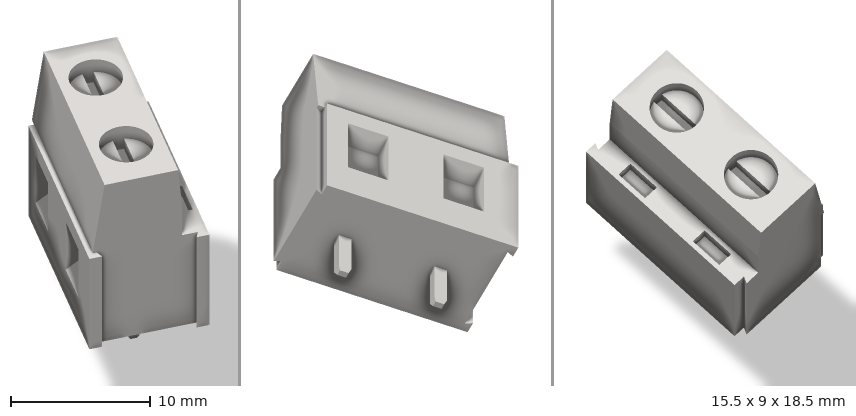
import cadquery as cq


pitch = 7.5
terminal_count = 2
housing_width = pitch * terminal_count
housing_depth = 9.0
base_height = 8.68
tower_height = 6.33
tower_top = base_height + tower_height
terminal_positions = [pitch * (index + 0.5) for index in range(terminal_count)]

dovetail_reach = 0.52
dovetail_inset = 0.7
dovetail_slope = 0.25
dovetail_tip = dovetail_inset + dovetail_slope

tower_front_bottom = 0.4
tower_front_top = 1.3
tower_rear_bottom = 7.1
tower_rear_top = 6.8
rear_taper_height = 3.59

screw_y = 4.05
screw_diameter = 3.9
screw_recess_depth = 1.2
screw_slot_width = 0.83
screw_slot_depth = 1.0

wire_mouth_width = 3.16
wire_mouth_bottom = 2.65
wire_mouth_top = 7.29
wire_floor_width = 2.78
wire_floor_bottom = 3.83
wire_floor_top = 6.55
wire_depth = 1.45

rear_pocket_width = 2.66
rear_pocket_length = 1.2
rear_pocket_y = 8.03
rear_pocket_depth = 1.0

pin_y = 4.5
pin_width = 1.0
pin_thickness = 0.81
pin_length = 3.5
pin_tip_height = 0.33
pin_tip_inset = 0.17


def make_base():
    """Extrude the plan outline with its dovetail grooves and tongues."""
    outer_x = housing_width + dovetail_reach
    rear_inset_y = housing_depth - dovetail_inset
    rear_tip_y = housing_depth - dovetail_tip
    outline = [
        (dovetail_reach, 0),
        (outer_x, 0),
        (outer_x, dovetail_tip),
        (housing_width, dovetail_inset),
        (housing_width, rear_inset_y),
        (outer_x, rear_tip_y),
        (outer_x, housing_depth),
        (dovetail_reach, housing_depth),
        (dovetail_reach, rear_tip_y),
        (0, rear_inset_y),
        (0, dovetail_inset),
        (dovetail_reach, dovetail_tip),
    ]
    return cq.Workplane("XY").polyline(outline).close().extrude(base_height)


def make_tower():
    """Extrude the tapered side profile along the row of terminals."""
    profile = [
        (tower_front_bottom, base_height),
        (tower_rear_bottom, base_height),
        (tower_rear_bottom, tower_top - rear_taper_height),
        (tower_rear_top, tower_top),
        (tower_front_top, tower_top),
    ]
    return cq.Workplane("YZ").polyline(profile).close().extrude(housing_width)


def make_screw_recess(x):
    """Round recess above a screw head, with the driver slot in its floor."""
    floor_z = tower_top - screw_recess_depth
    recess = (
        cq.Workplane("XY", origin=(x, screw_y, floor_z))
        .circle(screw_diameter / 2)
        .extrude(screw_recess_depth)
    )
    slot_plane = cq.Workplane("XY", origin=(x, screw_y, floor_z - screw_slot_depth))
    slot_bar = slot_plane.rect(screw_diameter, screw_slot_width).extrude(screw_slot_depth)
    head = slot_plane.circle(screw_diameter / 2).extrude(screw_slot_depth)
    return recess.union(slot_bar.intersect(head))


def make_wire_opening(x):
    """Funnel that narrows from the front face to its floor."""
    mouth_z = (wire_mouth_bottom + wire_mouth_top) / 2
    floor_z = (wire_floor_bottom + wire_floor_top) / 2
    return (
        cq.Workplane("XZ", origin=(x, 0, 0))
        .center(0, mouth_z)
        .rect(wire_mouth_width, wire_mouth_top - wire_mouth_bottom)
        .workplane(offset=-wire_depth)
        .center(0, floor_z - mouth_z)
        .rect(wire_floor_width, wire_floor_top - wire_floor_bottom)
        .loft(ruled=True)
    )


def make_rear_pocket(x):
    """Rectangular pocket cut down from the rear ledge."""
    return (
        cq.Workplane("XY", origin=(x, rear_pocket_y, base_height))
        .rect(rear_pocket_width, rear_pocket_length)
        .extrude(-rear_pocket_depth)
    )


def make_pin(x):
    """Rectangular solder pin with a tapered tip."""
    shank_length = pin_length - pin_tip_height
    shank = (
        cq.Workplane("XY", origin=(x, pin_y, 0))
        .rect(pin_width, pin_thickness)
        .extrude(-shank_length)
    )
    tip = (
        cq.Workplane("XY", origin=(x, pin_y, -shank_length))
        .rect(pin_width, pin_thickness)
        .workplane(offset=-pin_tip_height)
        .rect(pin_width - 2 * pin_tip_inset, pin_thickness - 2 * pin_tip_inset)
        .loft(ruled=True)
    )
    return shank.union(tip)


result = make_base().union(make_tower())
for terminal_x in terminal_positions:
    result = result.cut(make_screw_recess(terminal_x))
    result = result.cut(make_wire_opening(terminal_x))
    result = result.cut(make_rear_pocket(terminal_x))
    result = result.union(make_pin(terminal_x))